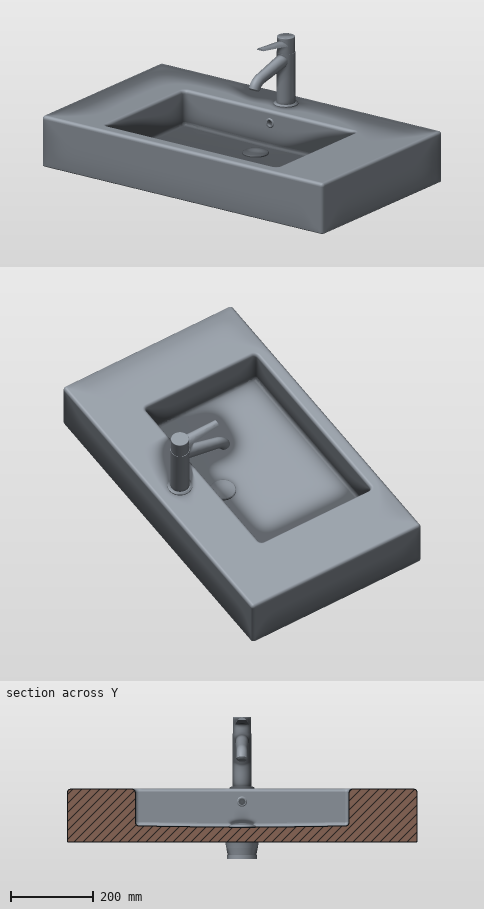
import cadquery as cq
import math

BASIN_LENGTH = 850.0
BASIN_WIDTH = 490.0
BASIN_BOTTOM = 41.0
BASIN_TOP = 171.0
BASIN_HEIGHT = BASIN_TOP - BASIN_BOTTOM
BASIN_ROUND = 8.5
BASIN_BOTTOM_ROUND = 3.0

BOWL_LENGTH = 518.5
BOWL_BACK = 114.0
BOWL_FRONT = -207.0
BOWL_WIDTH = BOWL_BACK - BOWL_FRONT
BOWL_CENTRE_Y = (BOWL_BACK + BOWL_FRONT) / 2
BOWL_CORNER = 9.0
BOWL_FLOOR_ROUND = 8.5
BOWL_RIM_ROUND = 8.5
FLOOR_LOW = 77.0
FLOOR_FALL = 7.0
FLOOR_RADIUS = 425.0

OVERFLOW_Z = 139.0
OVERFLOW_OUTER = 20.0
OVERFLOW_INNER = 16.0
OVERFLOW_DEPTH = 17.0
OVERFLOW_LIP_DIAMETER = 25.0
OVERFLOW_LIP = 2.0

DRAIN_Y = 55.0
PLUG_DIAMETER = 65.0
PLUG_CROWN_DIAMETER = 60.0
PLUG_BOTTOM = FLOOR_LOW
PLUG_RIM_HEIGHT = 3.0
PLUG_BEVEL_HEIGHT = 2.0
PLUG_CROWN_HEIGHT = 5.0
OUTLET_DIAMETER = 72.0
OUTLET_HEIGHT = 10.0
NECK_DIAMETER = 70.0
COLLAR_Z = 27.0
COLLAR_DIAMETER = 76.5
COLLAR_TOP_DIAMETER = 82.0
TAIL_DIAMETER = 44.0

TAP_Y = 179.0
TAP_TOP = 345.0
FOOT_DIAMETER = 60.0
FOOT_HEIGHT = 5.0
FOOT_TOP_DIAMETER = 52.0
FOOT_BEVEL_HEIGHT = 2.5
COLUMN_DIAMETER = 46.0
COLUMN_TOP = 305.0

CAP_DIAMETER = 44.0
CAP_EDGE = 1.3
LEVER_ROOT_REACH = 10.0
LEVER_ROOT_Z = 325.5
LEVER_ROOT_WIDTH = 35.0
LEVER_ROOT_HEIGHT = 11.0
LEVER_TIP_REACH = 106.0
LEVER_TIP_Z = 337.5
LEVER_TIP_WIDTH = 20.0
LEVER_TIP_HEIGHT = 6.0

SPOUT_SLOPE = 13.8
SPOUT_AXIS_Z = 290.0
SPOUT_ROOT_DIAMETER = 35.0
SPOUT_END_DIAMETER = 28.0
SPOUT_ARM_REACH = 104.5
BEND_RADIUS = 36.0
BEND_ANGLE = 53.0
NOZZLE_DIAMETER = 20.0
NOZZLE_LENGTH = 3.0


def cylinder(diameter, y, bottom, top):
    """An upright cylinder on the plane X = 0."""
    return cq.Workplane("XY", origin=(0, y, bottom)).circle(diameter / 2).extrude(top - bottom)


def floor_cone():
    """The space above a very shallow cone that falls towards the drain."""
    return (
        cq.Workplane("XZ", origin=(0, DRAIN_Y, FLOOR_LOW))
        .polyline([(0, 0), (FLOOR_RADIUS, FLOOR_FALL), (FLOOR_RADIUS, BASIN_HEIGHT), (0, BASIN_HEIGHT)])
        .close()
        .revolve(360, (0, 0), (0, 1))
    )


def overflow_tube(diameter):
    """A cylinder sunk into the back wall of the bowl."""
    plane = cq.Workplane("XZ", origin=(0, BOWL_BACK, OVERFLOW_Z))
    return plane.circle(diameter / 2).extrude(-OVERFLOW_DEPTH)


def make_bowl():
    """The space inside the bowl, with rounded corners and a rounded floor edge."""
    bowl = cq.Workplane("XY", origin=(0, BOWL_CENTRE_Y, BASIN_BOTTOM)).box(
        BOWL_LENGTH, BOWL_WIDTH, BASIN_HEIGHT, centered=(True, True, False)
    )
    bowl = bowl.edges("|Z").fillet(BOWL_CORNER)
    return bowl.intersect(floor_cone()).faces("%CONE").edges().fillet(BOWL_FLOOR_ROUND)


def bowl_rim():
    """Picks the edges where the bowl opens through the top of the basin."""
    margin = BOWL_RIM_ROUND / 2
    half_length = BOWL_LENGTH / 2 + margin
    return cq.selectors.BoxSelector(
        (-half_length, BOWL_FRONT - margin, BASIN_TOP - margin),
        (half_length, BOWL_BACK + margin, BASIN_TOP + margin),
    )


def make_basin(drain, plug):
    """A rounded block with the bowl sunk in it and seats for the fittings."""
    block = cq.Workplane("XY", origin=(0, 0, BASIN_BOTTOM)).box(
        BASIN_LENGTH, BASIN_WIDTH, BASIN_HEIGHT, centered=(True, True, False)
    )
    block = block.edges("|Z").fillet(BASIN_ROUND)
    block = block.faces(">Z").edges().fillet(BASIN_ROUND)
    block = block.faces("<Z").edges().fillet(BASIN_BOTTOM_ROUND)
    basin = block.cut(make_bowl()).edges(bowl_rim()).fillet(BOWL_RIM_ROUND)
    return basin.cut(overflow_tube(OVERFLOW_OUTER)).cut(drain).cut(plug)


def make_overflow_ring():
    """A sleeve in the back wall with a bevelled lip standing into the bowl."""
    lip_plane = cq.Plane(origin=(0, BOWL_BACK, OVERFLOW_Z), xDir=(1, 0, 0), normal=(0, -1, 0))
    lip = (
        cq.Workplane(lip_plane)
        .circle(OVERFLOW_LIP_DIAMETER / 2)
        .workplane(offset=OVERFLOW_LIP)
        .circle(OVERFLOW_OUTER / 2)
        .loft(ruled=True)
    )
    bore = cq.Workplane(lip_plane).circle(OVERFLOW_INNER / 2).extrude(OVERFLOW_LIP)
    return overflow_tube(OVERFLOW_OUTER).union(lip).cut(overflow_tube(OVERFLOW_INNER)).cut(bore)


def make_plug():
    """A disc with a bevelled edge and a domed crown, lying over the drain."""
    rim_radius = PLUG_DIAMETER / 2
    crown_radius = PLUG_CROWN_DIAMETER / 2
    rim_top = PLUG_BOTTOM + PLUG_RIM_HEIGHT
    crown_edge = rim_top + PLUG_BEVEL_HEIGHT
    crown_top = crown_edge + PLUG_CROWN_HEIGHT
    dome_radius = (crown_radius**2 + PLUG_CROWN_HEIGHT**2) / (2 * PLUG_CROWN_HEIGHT)
    return (
        cq.Workplane("XZ", origin=(0, DRAIN_Y, 0))
        .moveTo(0, PLUG_BOTTOM)
        .lineTo(rim_radius, PLUG_BOTTOM)
        .lineTo(rim_radius, rim_top)
        .lineTo(crown_radius, crown_edge)
        .radiusArc((0, crown_top), -dome_radius)
        .close()
        .revolve(360, (0, 0), (0, 1))
    )


def make_drain():
    """The outlet, neck and flared collar below the basin, and the tail up through it."""
    return (
        cq.Workplane("XZ", origin=(0, DRAIN_Y, 0))
        .moveTo(0, 0)
        .lineTo(OUTLET_DIAMETER / 2, 0)
        .lineTo(OUTLET_DIAMETER / 2, OUTLET_HEIGHT)
        .lineTo(NECK_DIAMETER / 2, OUTLET_HEIGHT)
        .lineTo(COLLAR_DIAMETER / 2, COLLAR_Z)
        .lineTo(COLLAR_TOP_DIAMETER / 2, BASIN_BOTTOM)
        .lineTo(TAIL_DIAMETER / 2, BASIN_BOTTOM)
        .lineTo(TAIL_DIAMETER / 2, PLUG_BOTTOM)
        .lineTo(0, PLUG_BOTTOM)
        .close()
        .revolve(360, (0, 0), (0, 1))
    )


def make_column():
    """The upright of the tap on its bevelled foot."""
    foot = cylinder(FOOT_DIAMETER, TAP_Y, BASIN_TOP, BASIN_TOP + FOOT_HEIGHT)
    bevel_width = (FOOT_DIAMETER - FOOT_TOP_DIAMETER) / 2
    foot = foot.faces(">Z").edges().chamfer(FOOT_BEVEL_HEIGHT, bevel_width)
    return foot.union(cylinder(COLUMN_DIAMETER, TAP_Y, BASIN_TOP, COLUMN_TOP))


def lever_section(reach, z, width, height):
    """A flat-bottomed circular segment across the lever."""
    return (
        cq.Workplane("XZ", origin=(0, TAP_Y - reach, z))
        .moveTo(-width / 2, 0)
        .threePointArc((0, height), (width / 2, 0))
        .close()
        .wires()
        .val()
    )


def make_handle():
    """The cap on the column and the lever that grows from its front."""
    cap = cylinder(CAP_DIAMETER, TAP_Y, COLUMN_TOP, TAP_TOP)
    cap = cap.faces(">Z").edges().fillet(CAP_EDGE)
    root = lever_section(LEVER_ROOT_REACH, LEVER_ROOT_Z, LEVER_ROOT_WIDTH, LEVER_ROOT_HEIGHT)
    tip = lever_section(LEVER_TIP_REACH, LEVER_TIP_Z, LEVER_TIP_WIDTH, LEVER_TIP_HEIGHT)
    return cap.union(cq.Workplane(cq.Solid.makeLoft([root, tip], True)))


def spout_plane(reach, z, slope):
    """A plane across the spout, facing along its flow, with local Y on the upper side."""
    angle = math.radians(slope)
    flow = (0, -math.cos(angle), -math.sin(angle))
    return cq.Plane(origin=(0, TAP_Y - reach, z), xDir=(1, 0, 0), normal=flow)


def make_spout(column):
    """The arm, its bend and the conical nozzle, butted against the column."""
    slope = math.radians(SPOUT_SLOPE)
    end_radius = SPOUT_END_DIAMETER / 2
    arm = (
        cq.Workplane(spout_plane(0, SPOUT_AXIS_Z, SPOUT_SLOPE))
        .circle(SPOUT_ROOT_DIAMETER / 2)
        .workplane(offset=SPOUT_ARM_REACH / math.cos(slope))
        .circle(end_radius)
        .loft(ruled=True)
    )
    arm = arm.cut(column).solids("<Y")

    arm_end_z = SPOUT_AXIS_Z - SPOUT_ARM_REACH * math.tan(slope)
    bend = (
        cq.Workplane(spout_plane(SPOUT_ARM_REACH, arm_end_z, SPOUT_SLOPE))
        .circle(end_radius)
        .revolve(BEND_ANGLE, (-8.5, -BEND_RADIUS), (8.5, -BEND_RADIUS))
    )

    outlet_slope = SPOUT_SLOPE + BEND_ANGLE
    outlet_angle = math.radians(outlet_slope)
    outlet_reach = SPOUT_ARM_REACH + BEND_RADIUS * (math.sin(outlet_angle) - math.sin(slope))
    outlet_z = arm_end_z - BEND_RADIUS * (math.cos(slope) - math.cos(outlet_angle))
    nozzle = (
        cq.Workplane(spout_plane(outlet_reach, outlet_z, outlet_slope))
        .circle(end_radius)
        .workplane(offset=NOZZLE_LENGTH)
        .circle(NOZZLE_DIAMETER / 2)
        .loft(ruled=True)
    )
    return arm.union(bend).union(nozzle)


drain = make_drain()
plug = make_plug()
basin = make_basin(drain, plug)
overflow_ring = make_overflow_ring()
column = make_column()
handle = make_handle()
spout = make_spout(column)

result = cq.Compound.makeCompound(
    [
        basin.val(),
        overflow_ring.val(),
        plug.val(),
        drain.val(),
        column.val(),
        handle.val(),
        spout.val(),
    ]
)